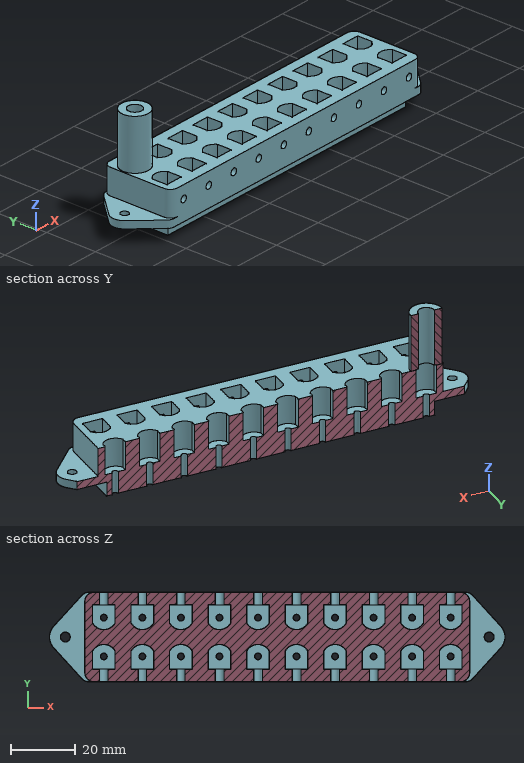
import cadquery as cq
import math

overall_length = 142.0
width = 28.0
foot_length = 114.0
foot_width = 20.0
foot_height = 5.0
flange_thickness = 3.0
block_length = 120.0
block_height = 10.1
corner_radius = 3.0

ear_radius = 5.0
ear_hole_diameter = 3.0

sockets_per_row = 10
row_length = 108.0
row_spacing = 12.0
socket_width = 7.0
socket_depth = block_height
flat_wall_offset = 4.0
round_wall_offset = 3.7
round_wall_height = 2.0
terminal_hole_diameter = 2.0
screw_hole_diameter = 2.5

sleeve_diameter = 11.0
sleeve_bore_diameter = 5.4
sleeve_height = 20.0

flange_bottom = foot_height
block_bottom = flange_bottom + flange_thickness
block_top = block_bottom + block_height
screw_level = block_bottom + block_height / 2
ear_center = overall_length / 2 - ear_radius
socket_pitch = row_length / (sockets_per_row - 1)
terminal_xs = [i * socket_pitch - row_length / 2 for i in range(sockets_per_row)]
terminal_y = row_spacing / 2
row_sides = (-1, 1)


def make_foot():
    return cq.Workplane("XY").box(foot_length, foot_width, foot_height, centered=(True, True, False))


def make_flange():
    """Hexagonal plate whose slanted edges run from the block corners tangent to the ear rounds."""
    corner_x = block_length / 2
    corner_y = width / 2
    corner_distance = math.hypot(corner_x - ear_center, corner_y)
    corner_angle = math.atan2(corner_y, corner_x - ear_center)
    edge_normal_angle = corner_angle - math.acos(ear_radius / corner_distance)
    apex_x = ear_center + ear_radius / math.cos(edge_normal_angle)
    outline = [
        (-apex_x, 0),
        (-corner_x, -corner_y),
        (corner_x, -corner_y),
        (apex_x, 0),
        (corner_x, corner_y),
        (-corner_x, corner_y),
    ]
    plate = cq.Workplane("XY", origin=(0, 0, flange_bottom)).polyline(outline).close().extrude(flange_thickness)
    plate = plate.edges("|Z and (<X or >X)").fillet(ear_radius)
    plate = plate.edges("|Z and (<Y or >Y)").fillet(corner_radius)
    ear_holes = (
        cq.Workplane("XY", origin=(0, 0, flange_bottom))
        .pushPoints([(-ear_center, 0), (ear_center, 0)])
        .circle(ear_hole_diameter / 2)
        .extrude(flange_thickness)
    )
    return plate.cut(ear_holes)


def make_block():
    block = cq.Workplane("XY", origin=(0, 0, block_bottom)).box(
        block_length, width, block_height, centered=(True, True, False)
    )
    return block.edges("|Z").fillet(corner_radius)


def make_terminal_cutter(x, side):
    """Socket with its round wall facing the long axis, its terminal hole and its clamping-screw hole."""
    y = side * terminal_y
    flat_y = y + side * flat_wall_offset
    crown_y = y - side * round_wall_offset
    shoulder_y = crown_y + side * round_wall_height
    half_width = socket_width / 2
    socket = (
        cq.Workplane("XY", origin=(0, 0, block_top))
        .moveTo(x - half_width, shoulder_y)
        .lineTo(x - half_width, flat_y)
        .lineTo(x + half_width, flat_y)
        .lineTo(x + half_width, shoulder_y)
        .threePointArc((x, crown_y), (x - half_width, shoulder_y))
        .close()
        .extrude(-socket_depth)
    )
    terminal_hole = cq.Workplane("XY").center(x, y).circle(terminal_hole_diameter / 2).extrude(block_top)
    screw_hole = (
        cq.Workplane("XZ", origin=(x, y, screw_level))
        .circle(screw_hole_diameter / 2)
        .extrude(-side * width / 2)
    )
    return socket.union(terminal_hole).union(screw_hole)


def make_housing():
    housing = make_foot().union(make_flange()).union(make_block())
    for side in row_sides:
        for x in terminal_xs:
            housing = housing.cut(make_terminal_cutter(x, side))
    return housing


def make_sleeve():
    return (
        cq.Workplane("XY", origin=(terminal_xs[0], terminal_y, block_top))
        .circle(sleeve_diameter / 2)
        .circle(sleeve_bore_diameter / 2)
        .extrude(sleeve_height)
    )


housing = make_housing()
sleeve = make_sleeve()
result = cq.Compound.makeCompound([housing.val(), sleeve.val()])